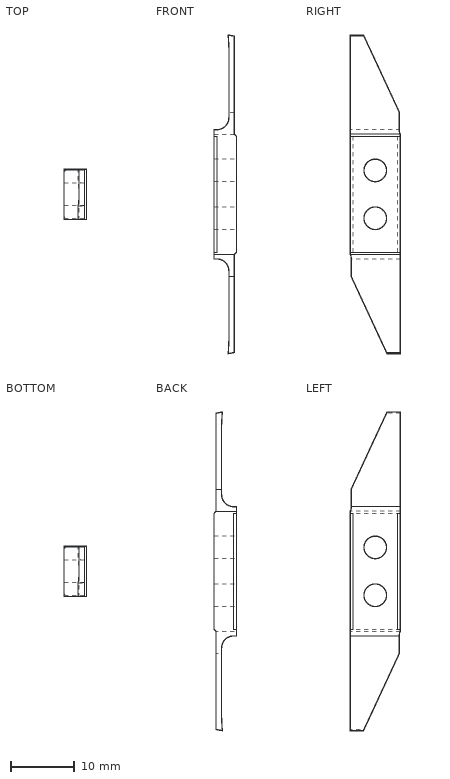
import cadquery as cq
import math

LENGTH = 50.5
WIDTH = 8.0
THICKNESS = 3.6
HALF_LENGTH = LENGTH / 2
HALF_WIDTH = WIDTH / 2
FRONT_X = -THICKNESS / 2
BACK_X = THICKNESS / 2

BLADE_FRONT_X = 0.55
BLADE_BACK_X = 1.45
ROOT_RADIUS = 1.85
BLOCK_HALF_LENGTH = 10.25
PAD_HALF_LENGTH = 9.2

TIP_LENGTH = 2.0
TIP_FLARE = 0.1
TIP_END_DROP = 0.2
TIP_WIDTH = 2.1
TAPER_START_Z = 13.0

RELIEF_DEPTH = 0.15
RELIEF_START_Z = 9.5
RELIEF_RUNOUT = 0.45

EDGE_CHAMFER = 0.45

HOLE_DIAMETER = 3.55
HOLE_SPACING = 7.6


def half_turn(body):
    """Copy of a body turned 180 degrees about the X axis."""
    return body.rotate((0, 0, 0), (1, 0, 0), 180)


def upper_side_profile():
    """Upper half of the thickness profile in XZ, extruded over the full width."""
    arc_start_x = BLADE_FRONT_X - ROOT_RADIUS
    arc_center_z = BLOCK_HALF_LENGTH + ROOT_RADIUS
    arc_offset = ROOT_RADIUS * math.sqrt(0.5)
    arc_middle = (arc_start_x + arc_offset, arc_center_z - arc_offset)
    pad_step = BACK_X - BLADE_BACK_X
    return (
        cq.Workplane("XZ")
        .moveTo(FRONT_X, 0)
        .lineTo(FRONT_X, BLOCK_HALF_LENGTH)
        .lineTo(arc_start_x, BLOCK_HALF_LENGTH)
        .threePointArc(arc_middle, (BLADE_FRONT_X, arc_center_z))
        .lineTo(BLADE_FRONT_X, HALF_LENGTH - TIP_LENGTH)
        .lineTo(BLADE_FRONT_X - TIP_FLARE, HALF_LENGTH)
        .lineTo(BLADE_BACK_X, HALF_LENGTH - TIP_END_DROP)
        .lineTo(BLADE_BACK_X, PAD_HALF_LENGTH + pad_step)
        .lineTo(BACK_X, PAD_HALF_LENGTH)
        .lineTo(BACK_X, 0)
        .close()
        .extrude(HALF_WIDTH, both=True)
    )


def upper_face_outline():
    """Upper half of the YZ outline: one straight side, one relieved and tapered side."""
    relief_y = HALF_WIDTH - RELIEF_DEPTH
    runout_z = RELIEF_START_Z + RELIEF_RUNOUT
    runout_radius = (RELIEF_RUNOUT**2 + RELIEF_DEPTH**2) / (2 * RELIEF_DEPTH)
    middle_rise = RELIEF_RUNOUT / 2
    middle_y = relief_y + runout_radius - math.sqrt(runout_radius**2 - middle_rise**2)
    return (
        cq.Workplane("YZ")
        .moveTo(-HALF_WIDTH, 0)
        .lineTo(HALF_WIDTH, 0)
        .lineTo(HALF_WIDTH, RELIEF_START_Z)
        .threePointArc((middle_y, runout_z - middle_rise), (relief_y, runout_z))
        .lineTo(relief_y, TAPER_START_Z)
        .lineTo(TIP_WIDTH - HALF_WIDTH, HALF_LENGTH)
        .lineTo(-HALF_WIDTH, HALF_LENGTH)
        .close()
        .extrude(THICKNESS, both=True)
    )


def edge_chamfer_cutter():
    """Triangular prism that bevels the long front edge on the +Y side."""
    return (
        cq.Workplane("XY")
        .moveTo(FRONT_X, HALF_WIDTH)
        .lineTo(FRONT_X + EDGE_CHAMFER, HALF_WIDTH)
        .lineTo(FRONT_X, HALF_WIDTH - EDGE_CHAMFER)
        .close()
        .extrude(PAD_HALF_LENGTH, both=True)
    )


def mounting_holes():
    """Two through holes along X, spaced along the block."""
    return (
        cq.Workplane("YZ")
        .pushPoints([(0, -HOLE_SPACING / 2), (0, HOLE_SPACING / 2)])
        .circle(HOLE_DIAMETER / 2)
        .extrude(THICKNESS, both=True)
    )


upper_half = upper_side_profile().intersect(upper_face_outline())
body = upper_half.union(half_turn(upper_half))

chamfer = edge_chamfer_cutter()
result = body.cut(chamfer).cut(half_turn(chamfer)).cut(mounting_holes())